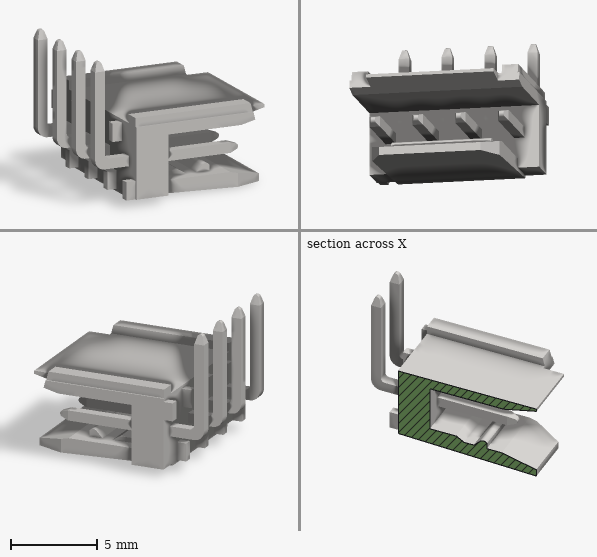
import cadquery as cq


BODY_WIDTH = 10.07
BODY_DEPTH = 2.05
BODY_HEIGHT = 4.36
MATING_END = 8.86

SHELF_WIDTH = 7.56
UPPER_WALL_BOTTOM = 3.68
UPPER_LEAD_IN_START = 6.75
UPPER_TIP_BOTTOM = 4.18
RAIL_INNER_X = 3.98
RAIL_OUTER_X = 4.93
RAIL_TOP = 4.9
SHOULDER_BOTTOM_Y = 7.72
SHOULDER_TOP_Y = 7.4

TONGUE_TOP = 0.54
TONGUE_REAR_BOTTOM = -0.15
TONGUE_TIP_BOTTOM = -0.48
TONGUE_LEAD_IN_START = 6.65
TONGUE_TIP_TOP = 0.0
TONGUE_CORNER_LENGTH = 1.71
TONGUE_CORNER_WIDTH = 0.77

LOCK_WIDTH = 5.92
BUMP_FRONT_Y = 5.7
BUMP_REAR_Y = 4.86
BUMP_CREST_Y = 5.46
BUMP_CREST_Z = 1.03
BUMP_FRONT_Z = 0.9
BUMP_SLOPE_TOP_Y = 5.24
BUMP_SLOPE_TOP_Z = 0.93
RIB_TOP = 0.84
RIB_TOP_END_Y = 3.72
RIB_FOOT_Y = 4.22

PIN_COUNT = 4
PITCH = 2.54
PIN_ROW_OFFSET = -0.048
PIN_SIZE = 0.62
PIN_BOTTOM = 1.78
PIN_REAR_Y = -2.19
PIN_FRONT_Y = 7.09
PIN_TOP = 8.27
PIN_TIP_LENGTH = 0.57
PIN_TIP_WIDTH = 0.27
PIN_NOSE_LENGTH = 0.12
BEND_INNER_RADIUS = 0.27
BEND_OUTER_RADIUS = 0.62

LUG_WIDTH = 0.51
LUG_HEIGHT = 1.1
LUG_LENGTH = 0.6
UPPER_LUG_BOTTOM = 3.06
UPPER_LUG_START_X = -BODY_WIDTH / 2
LOWER_LUG_START_X = -3.18


def extrude_yz(points, width):
    """Closed Y-Z outline extruded symmetrically about X = 0."""
    return cq.Workplane("YZ").polyline(points).close().extrude(width / 2, both=True)


def box(x, y, z):
    """Box spanning the given (low, high) pairs."""
    size = [high - low for low, high in (x, y, z)]
    return cq.Workplane("XY").box(*size, centered=False).translate((x[0], y[0], z[0]))


def make_upper_wall():
    """Upper wall and rails: slanted shoulders end the flanks, the middle runs on."""
    wall = extrude_yz(
        [
            (0, UPPER_WALL_BOTTOM),
            (UPPER_LEAD_IN_START, UPPER_WALL_BOTTOM),
            (MATING_END, UPPER_TIP_BOTTOM),
            (MATING_END, BODY_HEIGHT),
            (0, BODY_HEIGHT),
        ],
        BODY_WIDTH,
    )
    shelf_half = SHELF_WIDTH / 2
    shelf = wall.intersect(box((-shelf_half, shelf_half), (0, MATING_END), (0, BODY_HEIGHT)))
    for left, right in ((-RAIL_OUTER_X, -RAIL_INNER_X), (RAIL_INNER_X, RAIL_OUTER_X)):
        wall = wall.union(box((left, right), (0, MATING_END), (BODY_HEIGHT, RAIL_TOP)))
    shoulder = extrude_yz(
        [
            (0, UPPER_WALL_BOTTOM),
            (SHOULDER_BOTTOM_Y, UPPER_WALL_BOTTOM),
            (SHOULDER_TOP_Y, RAIL_TOP),
            (0, RAIL_TOP),
        ],
        BODY_WIDTH,
    )
    return wall.intersect(shoulder).union(shelf)


def make_tongue():
    """Lower tongue, running under the body and tapering to the mating end."""
    profile = extrude_yz(
        [
            (0, TONGUE_REAR_BOTTOM),
            (MATING_END, TONGUE_TIP_BOTTOM),
            (MATING_END, TONGUE_TIP_TOP),
            (TONGUE_LEAD_IN_START, TONGUE_TOP),
            (0, TONGUE_TOP),
        ],
        SHELF_WIDTH,
    )
    half = SHELF_WIDTH / 2
    tip_half = half - TONGUE_CORNER_WIDTH
    corner_y = MATING_END - TONGUE_CORNER_LENGTH
    plan = (
        cq.Workplane("XY", origin=(0, 0, TONGUE_TIP_BOTTOM))
        .polyline(
            [
                (-half, 0),
                (half, 0),
                (half, corner_y),
                (tip_half, MATING_END),
                (-tip_half, MATING_END),
                (-half, corner_y),
            ]
        )
        .close()
        .extrude(TONGUE_TOP - TONGUE_TIP_BOTTOM)
    )
    return profile.intersect(plan)


def make_lock():
    """Rounded locking bump and the ramped rib behind it."""
    bump = (
        cq.Workplane("YZ")
        .moveTo(BUMP_REAR_Y, TONGUE_TOP)
        .lineTo(BUMP_FRONT_Y, TONGUE_TOP)
        .lineTo(BUMP_FRONT_Y, BUMP_FRONT_Z)
        .threePointArc((BUMP_CREST_Y, BUMP_CREST_Z), (BUMP_SLOPE_TOP_Y, BUMP_SLOPE_TOP_Z))
        .close()
        .extrude(LOCK_WIDTH / 2, both=True)
    )
    rib = extrude_yz(
        [
            (0, TONGUE_TOP),
            (RIB_FOOT_Y, TONGUE_TOP),
            (RIB_TOP_END_Y, RIB_TOP),
            (0, RIB_TOP),
        ],
        LOCK_WIDTH,
    )
    return bump.union(rib)


def make_pin_tip():
    """Four-sided taper with a rounded nose, pointing along +Z from the origin."""
    half = PIN_SIZE / 2
    tip_half = PIN_TIP_WIDTH / 2
    nose_z = PIN_TIP_LENGTH - PIN_NOSE_LENGTH
    nose_half = half - (half - tip_half) * nose_z / PIN_TIP_LENGTH
    side = (
        cq.Workplane("YZ")
        .moveTo(-half, 0)
        .lineTo(half, 0)
        .lineTo(nose_half, nose_z)
        .threePointArc((0, PIN_TIP_LENGTH), (-nose_half, nose_z))
        .close()
        .extrude(half, both=True)
    )
    front = (
        cq.Workplane("XZ")
        .polyline([(-half, 0), (half, 0), (tip_half, PIN_TIP_LENGTH), (-tip_half, PIN_TIP_LENGTH)])
        .close()
        .extrude(half, both=True)
    )
    return side.intersect(front)


def make_pin():
    """Right-angle pin centred on X = 0."""
    half = PIN_SIZE / 2
    tail_front_y = PIN_REAR_Y + PIN_SIZE
    pin_top_z = PIN_BOTTOM + PIN_SIZE
    tip_y = PIN_FRONT_Y - PIN_TIP_LENGTH
    tip_z = PIN_TOP - PIN_TIP_LENGTH
    outer_bend = cq.selectors.NearestToPointSelector((0, PIN_REAR_Y, PIN_BOTTOM))
    inner_bend = cq.selectors.NearestToPointSelector((0, tail_front_y, pin_top_z))
    shank = extrude_yz(
        [
            (PIN_REAR_Y, PIN_BOTTOM),
            (tip_y, PIN_BOTTOM),
            (tip_y, pin_top_z),
            (tail_front_y, pin_top_z),
            (tail_front_y, tip_z),
            (PIN_REAR_Y, tip_z),
        ],
        PIN_SIZE,
    )
    shank = shank.edges(outer_bend).fillet(BEND_OUTER_RADIUS)
    shank = shank.edges(inner_bend).fillet(BEND_INNER_RADIUS)
    tip = make_pin_tip()
    tail_tip = tip.translate((0, PIN_REAR_Y + half, tip_z))
    mating_tip = tip.rotate((0, 0, 0), (1, 0, 0), -90).translate((0, tip_y, PIN_BOTTOM + half))
    return shank.union(tail_tip).union(mating_tip)


half_width = BODY_WIDTH / 2
result = box((-half_width, half_width), (0, BODY_DEPTH), (0, BODY_HEIGHT))
result = result.union(make_upper_wall()).union(make_tongue()).union(make_lock())

pin = make_pin()
for index in range(PIN_COUNT):
    step = index * PITCH
    pin_x = PIN_ROW_OFFSET + step - (PIN_COUNT - 1) * PITCH / 2
    result = result.union(pin.translate((pin_x, 0, 0)))
    for start_x, bottom in ((UPPER_LUG_START_X, UPPER_LUG_BOTTOM), (LOWER_LUG_START_X, 0)):
        left = start_x + step
        lug = box((left, left + LUG_WIDTH), (-LUG_LENGTH, 0), (bottom, bottom + LUG_HEIGHT))
        result = result.union(lug)